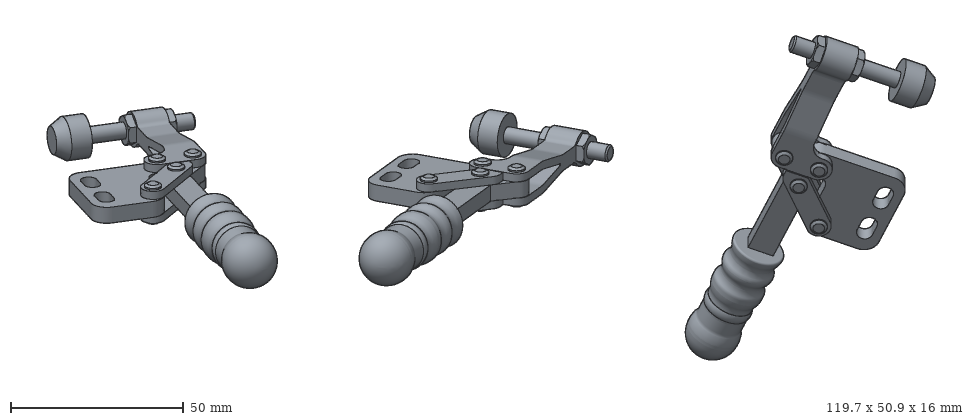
import cadquery as cq
import math


TOTAL_LENGTH = 119.7
TOTAL_DEPTH = 50.9
STRIP = 2.5
CORE_HALF = STRIP
STACK_HALF = CORE_HALF + STRIP

ARM_PIVOT = (0, 0)
ARM_LEVER_PIVOT = (0, 11.0)
LEVER_LINK_PIVOT = (7.8, 3.1)
LINK_RUN = 11.1
LINK_BASE_PIVOT = (LEVER_LINK_PIVOT[0] + LINK_RUN, LEVER_LINK_PIVOT[1] - LINK_RUN)

SHANK_RADIUS = 2.0
HEAD_RADIUS = 2.5
HEAD_TOP_RADIUS = 1.7
HEAD_RIM = 0.5
HEAD_HEIGHT = 1.1

PLATE_LEFT = -4.1
PLATE_RIGHT = 23.7
PLATE_BOTTOM = -27.0
PLATE_CORNER = 4.8
SHOULDER_Y = -4.8
NOTCH_FILLET = 3.0
SLOT_LENGTH = 8.0
SLOT_WIDTH = 4.8
SLOT_XS = (4.0, 15.8)
SLOT_Y = -21.9

ARM_TOP = 14.8
ARM_BOTTOM = 4.9
ARM_END_RADIUS = 3.8
ARM_CORNER_FILLET = 4.3
BEND_START_X = -23.2
BEND_ANGLE = math.radians(11)
BEND_INNER = 9.0
BEND_OUTER = BEND_INNER + STRIP
BARREL_RADIUS = 5.3
BARREL_FILLET = 2.5

PAD_DIAMETER = 13.0
PAD_RADIUS = PAD_DIAMETER / 2
PAD_TIP_RADIUS = 4.2
PAD_TOP = -9.6
PAD_SHOULDER = -15.9
PAD_BOTTOM = -19.8
SPINDLE_X = -35.3
SPINDLE_RADIUS = 2.5
SPINDLE_TOP = PLATE_BOTTOM + TOTAL_DEPTH
SPINDLE_CHAMFER = 0.5
NUT_FLATS = 8.4
NUT_CORNERS = NUT_FLATS / math.cos(math.pi / 6)
NUT_HEIGHT = 2.5
NUT_CHAMFER = 0.5
CORNER_TURN = 30

LINK_HALF_WIDTH = 3.6
LINK_LEFT = 4.2
LINK_TOP = 8.6
LINK_TOP_FILLET = 3.6
BAR_WIDTH = 7.9

GRIP_START = 35.8
GRIP_END = SPINDLE_X - PAD_RADIUS + TOTAL_LENGTH
GRIP_AXIS_Y = 3.6
CREST = 8.0
VALLEY_DIAMETER = 14.0
VALLEY = VALLEY_DIAMETER / 2
RIM_FILLET = 0.6
BUMP_RADIUS = 7.4
BUMP_EDGE = 7.1


def slab(sketch, z_low, z_high):
    """Extrude a closed XY outline between two heights."""
    return sketch.extrude(z_high - z_low).translate((0, 0, z_low))


def along_y(sketch, y_low, y_high):
    """Extrude a spindle-centred XZ outline between two Y positions."""
    return sketch.extrude(y_low - y_high).translate((SPINDLE_X, y_low, 0))


def mirrored(body):
    """The body together with its mirror image below Z = 0."""
    return body.union(body.mirror("XY"))


def diagonal_slot(start, end, half_width):
    """Round-ended strap outline between two pivots."""
    run = math.hypot(end[0] - start[0], end[1] - start[1])
    angle = math.degrees(math.atan2(end[1] - start[1], end[0] - start[0]))
    middle = ((start[0] + end[0]) / 2, (start[1] + end[1]) / 2)
    return cq.Workplane("XY").center(*middle).slot2D(run + 2 * half_width, 2 * half_width, angle)


def rivet(center):
    """Shank through the whole stack with a chamfered head on each face."""
    top = STACK_HALF + HEAD_HEIGHT
    rim = STACK_HALF + HEAD_RIM
    half = (
        cq.Workplane("XZ")
        .moveTo(0, 0)
        .lineTo(SHANK_RADIUS, 0)
        .lineTo(SHANK_RADIUS, STACK_HALF)
        .lineTo(HEAD_RADIUS, STACK_HALF)
        .lineTo(HEAD_RADIUS, rim)
        .lineTo(HEAD_TOP_RADIUS, top)
        .lineTo(0, top)
        .close()
        .revolve(360, (0, 0), (0, 1))
    )
    return mirrored(half).translate((*center, 0))


def rivet_holes(body, centers):
    """Cut shank holes through the body."""
    holes = cq.Workplane("XY").pushPoints(centers).circle(SHANK_RADIUS)
    return body.cut(slab(holes, -STACK_HALF, STACK_HALF))


def make_base():
    """Mounting plate with a round pivot lug, a shoulder for the links and two slots."""
    lug = -PLATE_LEFT
    panel = (
        cq.Workplane("XY")
        .moveTo(PLATE_LEFT, SHOULDER_Y)
        .lineTo(PLATE_RIGHT, SHOULDER_Y)
        .lineTo(PLATE_RIGHT, PLATE_BOTTOM)
        .lineTo(PLATE_LEFT, PLATE_BOTTOM)
        .close()
    )
    plate = slab(panel, -CORE_HALF, CORE_HALF)
    plate = plate.edges("|Z and (>X or <Y)").fillet(PLATE_CORNER)

    neck = (
        cq.Workplane("XY")
        .moveTo(PLATE_LEFT, SHOULDER_Y)
        .lineTo(PLATE_LEFT, 0)
        .threePointArc((0, lug), (lug, 0))
        .lineTo(lug, SHOULDER_Y + NOTCH_FILLET)
        .tangentArcPoint((lug + NOTCH_FILLET, SHOULDER_Y), relative=False)
        .close()
    )
    plate = plate.union(slab(neck, -CORE_HALF, CORE_HALF))

    slot_centers = [(x, SLOT_Y) for x in SLOT_XS]
    slots = cq.Workplane("XY").pushPoints(slot_centers).slot2D(SLOT_LENGTH, SLOT_WIDTH)
    plate = plate.cut(slab(slots, -CORE_HALF, CORE_HALF))
    return rivet_holes(plate, [ARM_PIVOT, LINK_BASE_PIVOT])


def arm_strip():
    """Upper arm strip: bent outward in side profile, L-shaped in plan."""
    sine = math.sin(BEND_ANGLE)
    cosine = math.cos(BEND_ANGLE)
    bends_rise = (BEND_INNER + BEND_OUTER) * (1 - cosine)
    ramp = (CORE_HALF - bends_rise) / sine
    shift = STRIP * sine

    top_1 = (BEND_START_X + BEND_INNER * sine, STRIP + BEND_INNER * (1 - cosine))
    top_2 = (top_1[0] + ramp * cosine, top_1[1] + ramp * sine)
    bend_end_x = top_2[0] + BEND_OUTER * sine
    low_1 = (top_1[0] + shift, top_1[1] - STRIP * cosine)
    low_2 = (top_2[0] + shift, top_2[1] - STRIP * cosine)
    profile = (
        cq.Workplane("XZ", origin=(0, ARM_TOP, 0))
        .moveTo(ARM_END_RADIUS, STACK_HALF)
        .lineTo(bend_end_x, STACK_HALF)
        .tangentArcPoint(top_2, relative=False)
        .lineTo(*top_1)
        .tangentArcPoint((BEND_START_X, STRIP), relative=False)
        .lineTo(BEND_START_X, 0)
        .tangentArcPoint(low_1, relative=False)
        .lineTo(*low_2)
        .tangentArcPoint((bend_end_x, CORE_HALF), relative=False)
        .lineTo(ARM_END_RADIUS, CORE_HALF)
        .close()
        .extrude(ARM_TOP + ARM_END_RADIUS)
    )
    diagonal = ARM_END_RADIUS * math.sqrt(0.5)
    plan = (
        cq.Workplane("XY")
        .moveTo(BEND_START_X, ARM_TOP)
        .lineTo(0, ARM_TOP)
        .threePointArc(
            (diagonal, ARM_LEVER_PIVOT[1] + diagonal),
            (ARM_END_RADIUS, ARM_LEVER_PIVOT[1]),
        )
        .lineTo(ARM_END_RADIUS, 0)
        .threePointArc((0, -ARM_END_RADIUS), (-ARM_END_RADIUS, 0))
        .lineTo(-ARM_END_RADIUS, ARM_BOTTOM - ARM_CORNER_FILLET)
        .tangentArcPoint((-ARM_END_RADIUS - ARM_CORNER_FILLET, ARM_BOTTOM), relative=False)
        .lineTo(BEND_START_X, ARM_BOTTOM)
        .close()
    )
    return profile.intersect(slab(plan, 0, STACK_HALF))


def arm_barrel():
    """Spindle barrel blended into the solid neck of the arm."""
    reach = BARREL_RADIUS + BARREL_FILLET
    angle = math.asin((STRIP + BARREL_FILLET) / reach)
    foot_x = SPINDLE_X + reach * math.cos(angle)
    touch_x = SPINDLE_X + BARREL_RADIUS * math.cos(angle)
    touch_z = BARREL_RADIUS * math.sin(angle)
    barrel = (
        cq.Workplane("XZ", origin=(0, ARM_TOP, 0))
        .moveTo(BEND_START_X, STRIP)
        .lineTo(foot_x, STRIP)
        .tangentArcPoint((touch_x, touch_z), relative=False)
        .threePointArc((SPINDLE_X - BARREL_RADIUS, 0), (touch_x, -touch_z))
        .tangentArcPoint((foot_x, -STRIP), relative=False)
        .lineTo(BEND_START_X, -STRIP)
        .close()
        .extrude(ARM_TOP - ARM_BOTTOM)
    )
    bore = along_y(cq.Workplane("XZ").circle(SPINDLE_RADIUS), ARM_BOTTOM, ARM_TOP)
    return barrel.cut(bore)


def make_arm():
    """Barrel, two-strip fork and the two rivets fixed in the fork."""
    arm = arm_barrel().union(mirrored(arm_strip()))
    for center in (ARM_PIVOT, ARM_LEVER_PIVOT):
        arm = arm.union(rivet(center))
    return arm


def make_linkage():
    """Pair of links joined by their two rivets."""
    strap = slab(diagonal_slot(LEVER_LINK_PIVOT, LINK_BASE_PIVOT, LINK_HALF_WIDTH), CORE_HALF, STACK_HALF)
    edge_offset = LINK_HALF_WIDTH * math.sqrt(2)
    axis_sum = LEVER_LINK_PIVOT[0] + LEVER_LINK_PIVOT[1]
    side = LINK_HALF_WIDTH * math.sqrt(0.5)
    setback = LINK_TOP_FILLET * math.tan(math.pi / 8)
    top_corner_x = axis_sum + edge_offset - LINK_TOP
    end_plan = (
        cq.Workplane("XY")
        .moveTo(LINK_LEFT, axis_sum - edge_offset - LINK_LEFT)
        .lineTo(LINK_LEFT, LINK_TOP)
        .lineTo(top_corner_x - setback, LINK_TOP)
        .tangentArcPoint(
            (top_corner_x + setback * math.sqrt(0.5), LINK_TOP - setback * math.sqrt(0.5)),
            relative=False,
        )
        .lineTo(LEVER_LINK_PIVOT[0] + side, LEVER_LINK_PIVOT[1] + side)
        .lineTo(LEVER_LINK_PIVOT[0] - side, LEVER_LINK_PIVOT[1] - side)
        .close()
    )
    linkage = mirrored(strap.union(slab(end_plan, CORE_HALF, STACK_HALF)))
    for center in (LEVER_LINK_PIVOT, LINK_BASE_PIVOT):
        linkage = linkage.union(rivet(center))
    return linkage


def make_lever():
    """Diagonal strap between the lever pivots with a flat bar running to the grip."""
    strap = slab(diagonal_slot(ARM_LEVER_PIVOT, LEVER_LINK_PIVOT, LINK_HALF_WIDTH), -CORE_HALF, CORE_HALF)
    bar_length = GRIP_START - LEVER_LINK_PIVOT[0]
    bar = cq.Workplane("XY").center(*LEVER_LINK_PIVOT).rect(bar_length, BAR_WIDTH, centered=(False, True))
    lever = strap.union(slab(bar, -CORE_HALF, CORE_HALF))
    return rivet_holes(lever, [ARM_LEVER_PIVOT, LEVER_LINK_PIVOT])


def wave(profile, start, end, share):
    """Add two tangent arcs from start to end, level at both; share sets the inflection."""
    bend = (start[0] + share * (end[0] - start[0]), start[1] + share * (end[1] - start[1]))
    return profile.tangentArcPoint(bend, relative=False).tangentArcPoint(end, relative=False)


def make_grip():
    """Turned grip: wavy finger grooves, a waist with one low bump, and a domed end."""
    crest_0 = (GRIP_START + RIM_FILLET, CREST)
    valley_1 = (40.6, VALLEY)
    crest_1 = (43.7, CREST)
    valley_2 = (47.4, VALLEY)
    crest_2 = (50.6, CREST)
    crest_2_end = (52.1, CREST)
    valley_3 = (56.1, VALLEY)
    bump_start = 57.0
    bump_end = 60.0
    waist_start = (60.8, VALLEY)
    waist_end = (64.9, VALLEY)
    dome_crest = (68.7, CREST)
    dome_start = GRIP_END - CREST
    diagonal = CREST * math.sqrt(0.5)
    rim_inset = RIM_FILLET * (1 - math.sqrt(0.5))

    profile = (
        cq.Workplane("XY")
        .moveTo(GRIP_START, 0)
        .lineTo(GRIP_START, CREST - RIM_FILLET)
        .threePointArc((GRIP_START + rim_inset, CREST - rim_inset), crest_0)
    )
    profile = wave(profile, crest_0, valley_1, 0.45)
    profile = wave(profile, valley_1, crest_1, 0.62)
    profile = wave(profile, crest_1, valley_2, 0.54)
    profile = wave(profile, valley_2, crest_2, 0.67)
    profile = profile.lineTo(*crest_2_end)
    profile = wave(profile, crest_2_end, valley_3, 0.53)
    profile = (
        profile.lineTo(bump_start, VALLEY)
        .lineTo(bump_start, BUMP_EDGE)
        .threePointArc(((bump_start + bump_end) / 2, BUMP_RADIUS), (bump_end, BUMP_EDGE))
        .lineTo(*waist_start)
        .lineTo(*waist_end)
    )
    profile = wave(profile, waist_end, dome_crest, 0.25)
    profile = (
        profile.lineTo(dome_start, CREST)
        .threePointArc((dome_start + diagonal, diagonal), (GRIP_END, 0))
        .close()
    )
    return profile.revolve(360, (0, 0), (1, 0)).translate((0, GRIP_AXIS_Y, 0))


def nut():
    """Hex nut standing on Z = 0 of its own axis, corners chamfered at the outer end."""
    hexagon = cq.Workplane("XY").polygon(6, NUT_CORNERS).extrude(NUT_HEIGHT)
    hexagon = hexagon.rotate((0, 0, 0), (0, 0, 1), CORNER_TURN)
    envelope = cq.Workplane("XY").circle(NUT_CORNERS / 2).extrude(NUT_HEIGHT)
    envelope = envelope.faces(">Z").chamfer(NUT_CHAMFER)
    return hexagon.intersect(envelope)


def make_spindle():
    """Clamping screw with conical pad and a nut locked against each end of the barrel."""
    screw = (
        cq.Workplane("XY")
        .moveTo(0, PAD_BOTTOM)
        .lineTo(PAD_TIP_RADIUS, PAD_BOTTOM)
        .lineTo(PAD_RADIUS, PAD_SHOULDER)
        .lineTo(PAD_RADIUS, PAD_TOP)
        .lineTo(SPINDLE_RADIUS, PAD_TOP)
        .lineTo(SPINDLE_RADIUS, SPINDLE_TOP - SPINDLE_CHAMFER)
        .lineTo(SPINDLE_RADIUS - SPINDLE_CHAMFER, SPINDLE_TOP)
        .lineTo(0, SPINDLE_TOP)
        .close()
        .revolve(360, (0, 0), (0, 1))
    )
    upper_nut = nut().rotate((0, 0, 0), (1, 0, 0), -90)
    lower_nut = upper_nut.mirror("XZ")
    screw = screw.union(upper_nut.translate((0, ARM_TOP, 0)))
    screw = screw.union(lower_nut.translate((0, ARM_BOTTOM, 0)))
    return screw.translate((SPINDLE_X, 0, 0))


base = make_base()
arm = make_arm()
linkage = make_linkage()
lever = make_lever()
grip = make_grip()
spindle = make_spindle()

result = cq.Compound.makeCompound(
    [body.solids().val() for body in (base, arm, linkage, lever, grip, spindle)]
)